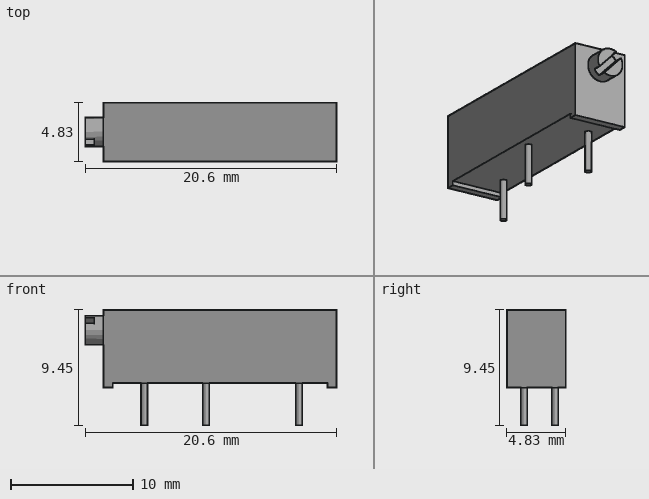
import cadquery as cq


total_length = 20.57
total_height = 9.45

screw_length = 1.5
housing_length = total_length - screw_length
housing_width = 4.83
housing_height = 6.35
foot_length = 0.76
foot_height = 0.37

screw_diameter = 2.39
screw_axis_drop = 1.67
screw_axis_z = housing_height - screw_axis_drop
slot_width = 0.64
slot_depth = 0.76
slot_angle = 45.0

pin_diameter = 0.55
pin_pitch = 2.53
pin_length = total_height - housing_height + foot_height
first_pin_x = 3.33
front_row_y = -1.0
back_row_y = front_row_y + pin_pitch
pin_places = [
    (first_pin_x, front_row_y),
    (first_pin_x + 2 * pin_pitch, back_row_y),
    (first_pin_x + 5 * pin_pitch, front_row_y),
]


def make_housing():
    """Rectangular block, recessed underneath so that a foot is left at each end."""
    block = cq.Workplane("XY").box(
        housing_length, housing_width, housing_height, centered=(False, True, False)
    )
    recess = (
        cq.Workplane("XY")
        .box(housing_length - 2 * foot_length, housing_width, foot_height, centered=(False, True, False))
        .translate((foot_length, 0, 0))
    )
    return block.cut(recess)


def make_screw():
    """Round screw head on the end face, with a diagonal slot across its outer end."""
    axis_point = (0, 0, screw_axis_z)
    head = cq.Workplane("YZ", origin=axis_point).circle(screw_diameter / 2).extrude(-screw_length)
    slot = (
        cq.Workplane("XY")
        .box(slot_depth, 2 * screw_diameter, slot_width, centered=(False, True, True))
        .rotate((0, 0, 0), (1, 0, 0), -slot_angle)
        .translate((-screw_length, 0, screw_axis_z))
    )
    return head.cut(slot)


def make_pin(x, y):
    """Round pin hanging from the roof of the recess."""
    return cq.Workplane("XY", origin=(x, y, foot_height)).circle(pin_diameter / 2).extrude(-pin_length)


housing = make_housing()
screw = make_screw()
pins = [make_pin(x, y) for x, y in pin_places]

result = cq.Compound.makeCompound([housing.val(), screw.val(), *[pin.val() for pin in pins]])